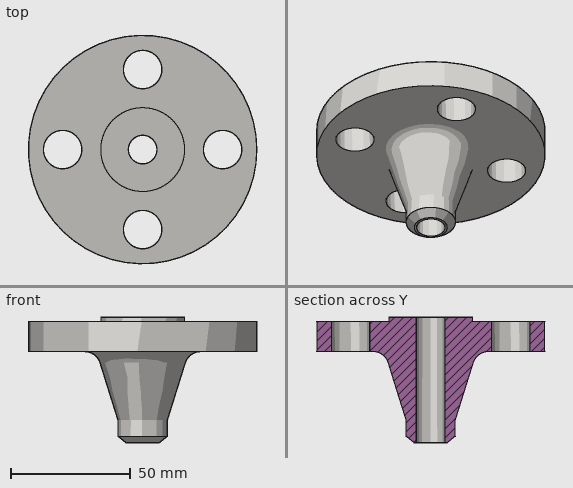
import cadquery as cq
import math

total_height = 52.4
bore_diameter = 11.8

flange_diameter = 95.25
flange_thickness = 12.7
face_diameter = 35.0
face_height = 1.7

bolt_circle_diameter = 66.7
bolt_hole_diameter = 15.9
bolt_count = 4

neck_diameter = 20.6
bevel_height = 2.8
tip_diameter = 13.7
cone_top_diameter = 35.6
root_radius = 6.6
cone_taper_degrees = 17.4

neck_bottom = bevel_height
flange_top = total_height - face_height
flange_bottom = flange_top - flange_thickness

cone_top_radius = cone_top_diameter / 2
cone_angle = math.radians(cone_taper_degrees)
arc_sweep = math.pi / 2 - cone_angle
root_center_r = cone_top_radius + root_radius * math.sin(arc_sweep)
root_center_z = flange_bottom - root_radius
cone_top = root_center_z + root_radius * math.cos(arc_sweep)
cone_bottom = cone_top - (cone_top_radius - neck_diameter / 2) / math.tan(cone_angle)


def root_arc_point(angle):
    """Point on the root fillet, at an angle measured from its flange end."""
    return (
        root_center_r - root_radius * math.sin(angle),
        root_center_z + root_radius * math.cos(angle),
    )


def make_body():
    """Revolve the half section, without holes, around the Z axis."""
    return (
        cq.Workplane("XZ")
        .lineTo(tip_diameter / 2, 0)
        .lineTo(neck_diameter / 2, neck_bottom)
        .lineTo(neck_diameter / 2, cone_bottom)
        .lineTo(*root_arc_point(arc_sweep))
        .threePointArc(root_arc_point(arc_sweep / 2), root_arc_point(0))
        .lineTo(flange_diameter / 2, flange_bottom)
        .lineTo(flange_diameter / 2, flange_top)
        .lineTo(face_diameter / 2, flange_top)
        .lineTo(face_diameter / 2, total_height)
        .lineTo(0, total_height)
        .close()
        .revolve(360, (0, 0), (0, 1))
    )


def make_holes():
    """Central bore and bolt holes, all running the full height."""
    bore = cq.Workplane("XY").circle(bore_diameter / 2).extrude(total_height)
    bolt_holes = (
        cq.Workplane("XY")
        .polarArray(bolt_circle_diameter / 2, 0, 360, bolt_count)
        .circle(bolt_hole_diameter / 2)
        .extrude(total_height)
    )
    return bore.union(bolt_holes)


result = make_body().cut(make_holes())